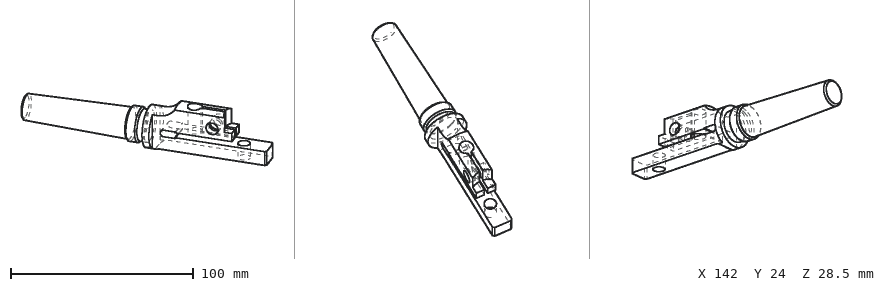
import cadquery as cq
import math

total_length = 142.0
taper_end = 58.4
ring_start = 61.0
ring_end = 68.0
flange_start = 72.0
flange_end = 76.0
shoulder_start = 79.5
lip_end = 122.0

gauge_diameter = 17.78
taper_ratio = 1 / 20.02
shank_chamfer = 1.0
neck_diameter = 18.0
ring_diameter = 20.0
ring_chamfer = 1.0
flange_diameter = 24.0

head_radius = 16.5
head_rise_radius = 12.0
fork_width = 12.0
fork_bottom = -10.0
root_fillet = 6.0
root_start = 76.3
lip_top = 6.5
bar_end_chamfer = 1.0

slot_height = 3.0
slot_relief_height = 4.0
slot_relief_start = 80.5
slot_relief_end = 89.0

cross_hole_diameter = 7.0
cross_hole_x = 110.5
cross_hole_z = 7.5
bar_hole_diameter = 6.65
bar_hole_x = 127.0
seat_diameter = 22.0
clamp_hole_diameter = 8.0
clamp_hole_x = 98.5
slit_width = 2.0

gauge_radius = gauge_diameter / 2
tip_radius = gauge_radius - taper_end * taper_ratio / 2
neck_radius = neck_diameter / 2
ring_radius = ring_diameter / 2
flange_radius = flange_diameter / 2


def box_between(x_range, y_range, z_range):
    """Box spanning the given (low, high) ranges."""
    lows, highs = zip(x_range, y_range, z_range)
    sizes = [high - low for low, high in zip(lows, highs)]
    return cq.Workplane("XY").box(*sizes, centered=False).translate(lows)


def vertical_hole(x, diameter, bottom, top):
    """Cylinder along Z on the part's centre plane."""
    return cq.Workplane("XY", origin=(x, 0, bottom)).circle(diameter / 2).extrude(top - bottom)


def arc_run(radius, rise):
    """Length along X of an arc that starts along X and climbs by the given rise."""
    return math.sqrt(radius**2 - (radius - rise) ** 2)


def make_shank():
    """Tapered shank, chamfered ring, neck and flange, turned about X."""
    profile = (
        cq.Workplane("XZ")
        .moveTo(0, 0)
        .lineTo(0, tip_radius - shank_chamfer)
        .lineTo(shank_chamfer, tip_radius + shank_chamfer * taper_ratio / 2)
        .lineTo(taper_end, gauge_radius)
        .lineTo(ring_start, gauge_radius)
        .lineTo(ring_start, ring_radius - ring_chamfer)
        .lineTo(ring_start + ring_chamfer, ring_radius)
        .lineTo(ring_end - ring_chamfer, ring_radius)
        .lineTo(ring_end, neck_radius)
        .lineTo(flange_start, neck_radius)
        .lineTo(flange_start, flange_radius)
        .lineTo(flange_end, flange_radius)
        .lineTo(flange_end, 0)
        .close()
    )
    return profile.revolve(360, (0, 0, 0), (1, 0, 0))


def make_turned_head():
    """Round blank of the head, rising from the flange in an arc tangent to it."""
    rise = head_radius - flange_radius
    run = arc_run(head_rise_radius, rise)
    profile = (
        cq.Workplane("XZ")
        .moveTo(flange_start, 0)
        .lineTo(flange_start, flange_radius)
        .lineTo(shoulder_start, flange_radius)
        .tangentArcPoint((run, rise))
        .lineTo(total_length, head_radius)
        .lineTo(total_length, 0)
        .close()
    )
    return profile.revolve(360, (0, 0, 0), (1, 0, 0))


def make_fork_outline():
    """Side outline of both prongs, as a prism across the fork width."""
    root_run = arc_run(root_fillet, flange_radius + fork_bottom)
    outline = (
        cq.Workplane("XZ")
        .moveTo(flange_start, head_radius)
        .lineTo(lip_end, head_radius)
        .lineTo(lip_end, -slot_height / 2)
        .lineTo(total_length, -slot_height / 2)
        .lineTo(total_length, fork_bottom)
        .lineTo(root_start + root_run, fork_bottom)
        .radiusArc((root_start, -flange_radius), -root_fillet)
        .lineTo(flange_start, -flange_radius)
        .close()
    )
    prism = outline.extrude(fork_width / 2, both=True)
    return prism.edges("|Z and >X").chamfer(bar_end_chamfer)


def make_slot():
    """Slot between the prongs with a taller relief ending in a full round."""
    across = (-fork_width / 2, fork_width / 2)
    half_height = slot_height / 2
    end_radius = slot_relief_height / 2
    round_x = slot_relief_start + end_radius
    narrow = box_between((slot_relief_end, total_length), across, (-half_height, half_height))
    relief = box_between((round_x, slot_relief_end), across, (-end_radius, end_radius))
    round_end = (
        cq.Workplane("XZ", origin=(round_x, 0, 0))
        .circle(end_radius)
        .extrude(fork_width / 2, both=True)
    )
    return narrow.union(relief).union(round_end)


def make_holes():
    """Cross hole, bar hole with its seat above, and the clamp hole with its slit."""
    cross_hole = (
        cq.Workplane("XZ", origin=(cross_hole_x, 0, cross_hole_z))
        .circle(cross_hole_diameter / 2)
        .extrude(fork_width / 2, both=True)
    )
    clamp_hole = vertical_hole(clamp_hole_x, clamp_hole_diameter, 0, head_radius)
    bar_hole = vertical_hole(bar_hole_x, bar_hole_diameter, fork_bottom, 0)
    seat = vertical_hole(bar_hole_x, seat_diameter, lip_top, head_radius)
    slit = box_between(
        (clamp_hole_x, lip_end), (-slit_width / 2, slit_width / 2), (0, head_radius)
    )
    return cross_hole.union(clamp_hole).union(slit).union(bar_hole).union(seat)


fork = make_turned_head().intersect(make_fork_outline())
result = make_shank().union(fork).cut(make_slot()).cut(make_holes())